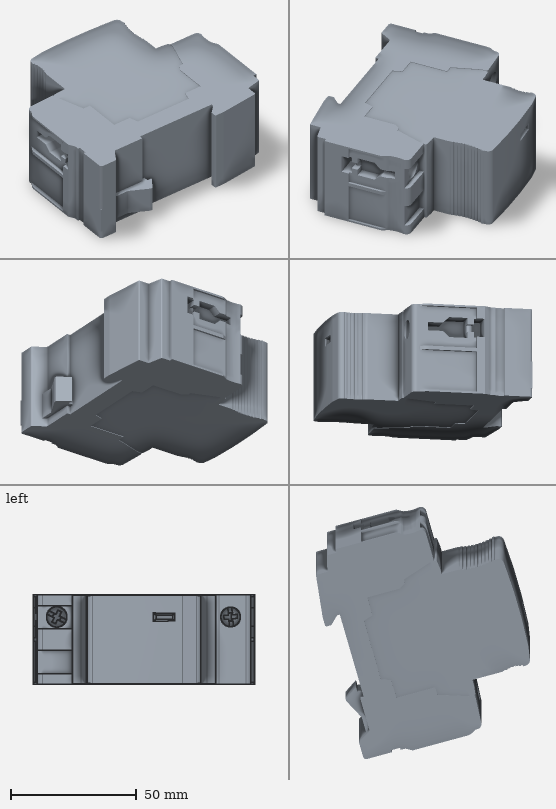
import cadquery as cq
import math

LENGTH = 88.0
BODY_WIDTH = 35.6
COVER_STEP = 0.3
COVER_WIDTH = BODY_WIDTH - 2 * COVER_STEP

FLANGE_FRONT = 25.8
FLANGE_TOP = 72.6
FLANGE_BOTTOM = 15.4
FLANGE_STRAIGHT = 2.5
FLANGE_LEAN = 0.4
FLANGE_CORNER_RADIUS = 0.5
COVER_TOP = 66.6
COVER_BOTTOM = 21.5
NOSE_CORNER_RADIUS = 2.2

GRIP_DIP = 1.1
RIDGE_PITCH = 1.5
RIDGE_WIDTH = 1.0
RIDGE_HEIGHT = 0.3
TOP_GRIP = (4.4, 19.3)
TOP_FIRST_RIDGE = 4.4
TOP_RIDGES = 10
BOTTOM_GRIP = (4.0, 13.3)
BOTTOM_FIRST_RIDGE = 4.3
BOTTOM_RIDGES = 6

BODY_FRONT = 27.3
BODY_CORNER_RADIUS = 2.1
RAIL_SEAT = 69.3
BODY_BACK = 76.1
SHOULDER = 1.5
GROOVE_DEPTH = 0.9
HOOK_TOP = 79.9
HOOK_TIP = 58.3

WINDOW_DEPTH = 1.8
WINDOW_CENTER = (35.9, 8.9)
WINDOW_MOUTH = (9.1, 3.5)
WINDOW_FLOOR = (6.5, 1.5)

TERMINAL_Z = 9.0
SCREW_TURN_LOW = -5.0
SCREW_TURN_HIGH = -63.0
SCREW_LOW_Y = 9.6
SCREW_LOW_RADIUS = 3.9
SCREW_HIGH_Y = 78.7
SCREW_HIGH_RADIUS = 4.05
SCREW_FACE_LOW = 32.65
SCREW_FACE_HIGH = 35.4
CROSS_LENGTH = 5.3
CROSS_HEIGHT = 3.2
SLOT_WIDTH = 1.6
SLOT_DEPTH = 0.3
CROSS_DEPTH = 0.5

PANEL_START = 30.2
PANEL_END = 53.15
PANEL_HEIGHT = 16.3
PANEL_RIB = 1.5
PANEL_DEPTH_LOW = SHOULDER
PANEL_DEPTH_HIGH = 1.0
ENTRY_NARROW = 3.3
ENTRY_WIDE = 8.1
ENTRY_DEPTH_LOW = 7.9
ENTRY_DEPTH_HIGH = 3.5
CAGE_START = 52.2
CAGE_END = 56.1
CAGE_WIDTH = 7.4
CAGE_DEPTH = 7.0
NECK_START = 49.6
NECK_WIDTH = 3.0
NECK_DEPTH = 3.5
POST_SIDES = 8

RECESS_DEPTH = 1.9
RECESS_WIDTH = 9.2
RECESS_Z = 8.9

FOOT_RADIUS = 1.1

CLIP_Z = -8.9
CLIP_WIDTH = 10.9


def prism(sketch, width, z_middle=0.0):
    """Extrude a closed XY outline symmetrically about z_middle."""
    return sketch.close().extrude(width / 2, both=True).translate((0, 0, z_middle))


def block(x_range, y_range, z_middle, width):
    """Box given by its X and Y limits and its Z middle and width."""
    x_size = x_range[1] - x_range[0]
    y_size = y_range[1] - y_range[0]
    return cq.Workplane("XY").box(x_size, y_size, width).translate(
        (x_range[0] + x_size / 2, y_range[0] + y_size / 2, z_middle)
    )


def round_corners(solid, corners):
    """Round the edges along Z that pass through the listed (x, y, radius) corners."""
    reach = 0.04
    for x, y, radius in corners:
        near = cq.selectors.BoxSelector(
            (x - reach, y - reach, -LENGTH), (x + reach, y + reach, LENGTH)
        )
        solid = solid.edges("|Z").edges(near).fillet(radius)
    return solid


def grip_ridges(start, end, edge, inward, first, count):
    """Raised ridges along a grip arc; inward is the Y sign pointing into the cover."""
    half_span = (end - start) / 2
    middle = start + half_span
    arc_radius = (half_span**2 + GRIP_DIP**2) / (2 * GRIP_DIP)
    ridges = cq.Workplane("XY")
    for index in range(count):
        x = first + index * RIDGE_PITCH
        drop = arc_radius - math.sqrt(arc_radius**2 - (x - middle) ** 2)
        tip = edge + inward * (GRIP_DIP - drop - RIDGE_HEIGHT)
        root = tip + inward * 3 * RIDGE_HEIGHT
        ridges = ridges.union(
            block((x - RIDGE_WIDTH / 2, x + RIDGE_WIDTH / 2), sorted((tip, root)), 0, COVER_WIDTH)
        )
    return ridges


PARTING = [
    (28.9, FLANGE_BOTTOM),
    (40.8, 19.4),
    (40.8, 22.5),
    (56.85, 22.5),
    (56.85, 30.2),
    (60.7, 31.4),
    (60.7, 56.6),
    (56.85, 57.8),
    (56.85, 65.5),
    (43.4, 65.5),
    (40.8, 67.1),
    (40.8, 68.6),
    (29.0, FLANGE_TOP),
]


def make_cover():
    """Front cover with its curved nose, finger grips and the flange over the body."""
    nose_top = (0.9, COVER_TOP)
    nose_bottom = (1.85, COVER_BOTTOM)
    flange_corner_x = FLANGE_FRONT + FLANGE_LEAN
    outline = (
        cq.Workplane("XY")
        .moveTo(*nose_top)
        .threePointArc((0, 45.1), (0.6, 28.9))
        .lineTo(*nose_bottom)
        .lineTo(BOTTOM_GRIP[0], COVER_BOTTOM)
        .threePointArc((sum(BOTTOM_GRIP) / 2, COVER_BOTTOM + GRIP_DIP), (BOTTOM_GRIP[1], COVER_BOTTOM))
        .lineTo(FLANGE_FRONT, COVER_BOTTOM)
        .lineTo(FLANGE_FRONT, COVER_BOTTOM - FLANGE_STRAIGHT)
        .lineTo(flange_corner_x, FLANGE_BOTTOM)
    )
    for point in PARTING:
        outline = outline.lineTo(*point)
    outline = (
        outline.lineTo(flange_corner_x, FLANGE_TOP)
        .lineTo(FLANGE_FRONT, COVER_TOP + FLANGE_STRAIGHT)
        .lineTo(FLANGE_FRONT, COVER_TOP)
        .lineTo(TOP_GRIP[1], COVER_TOP)
        .threePointArc((sum(TOP_GRIP) / 2, COVER_TOP - GRIP_DIP), (TOP_GRIP[0], COVER_TOP))
    )
    cover = round_corners(
        prism(outline, COVER_WIDTH),
        [
            (*nose_top, NOSE_CORNER_RADIUS),
            (*nose_bottom, NOSE_CORNER_RADIUS),
            (flange_corner_x, FLANGE_TOP, FLANGE_CORNER_RADIUS),
            (flange_corner_x, FLANGE_BOTTOM, FLANGE_CORNER_RADIUS),
        ],
    )
    cover = cover.union(grip_ridges(*TOP_GRIP, COVER_TOP, -1, TOP_FIRST_RIDGE, TOP_RIDGES))
    return cover.union(grip_ridges(*BOTTOM_GRIP, COVER_BOTTOM, 1, BOTTOM_FIRST_RIDGE, BOTTOM_RIDGES))


def make_body():
    """Body around the cover, with the rail hook, rail seat and foot."""
    high_shoulder = LENGTH - SHOULDER
    outline = cq.Workplane("XY").moveTo(26.4, FLANGE_BOTTOM)
    for point in PARTING:
        outline = outline.lineTo(*point)
    outline = (
        outline.lineTo(BODY_FRONT, FLANGE_TOP)
        .lineTo(BODY_FRONT, high_shoulder)
        .lineTo(29.5, high_shoulder)
        .threePointArc((32.6, high_shoulder - 0.35), (36.0, high_shoulder))
        .lineTo(38.6, LENGTH)
        .lineTo(63.7, LENGTH)
        .lineTo(63.7, high_shoulder)
        .lineTo(67.7, high_shoulder)
        .lineTo(RAIL_SEAT, HOOK_TOP)
        .lineTo(74.0, HOOK_TOP)
        .lineTo(BODY_BACK, 62.5)
        .lineTo(BODY_BACK, HOOK_TIP)
        .lineTo(73.7, HOOK_TIP)
        .lineTo(70.4, 61.6)
        .lineTo(RAIL_SEAT, 61.6)
        .lineTo(RAIL_SEAT, 26.05)
        .lineTo(70.75, 26.05)
        .lineTo(70.75, 12.3)
        .lineTo(BODY_BACK, 9.1)
        .lineTo(BODY_BACK, SHOULDER)
        .lineTo(64.6, SHOULDER)
        .lineTo(64.6, SHOULDER + GROOVE_DEPTH)
        .lineTo(61.0, SHOULDER + GROOVE_DEPTH)
        .lineTo(61.0, SHOULDER)
        .lineTo(59.05, SHOULDER)
        .lineTo(56.5, 0)
        .lineTo(32.6, 0)
        .lineTo(PANEL_START, SHOULDER)
        .lineTo(BODY_FRONT, SHOULDER)
    )
    return round_corners(
        prism(outline, BODY_WIDTH),
        [
            (BODY_FRONT, high_shoulder, BODY_CORNER_RADIUS),
            (38.6, LENGTH, 1.3),
            (67.7, high_shoulder, 0.5),
            (74.0, HOOK_TOP, 0.5),
            (BODY_BACK, HOOK_TIP, 0.6),
            (70.75, 12.3, 1.3),
            (BODY_BACK, 9.1, 0.9),
            (32.6, 0, 4.4),
            (BODY_FRONT, SHOULDER, BODY_CORNER_RADIUS),
            (26.4, FLANGE_BOTTOM, 1.0),
        ],
    )


def make_clip():
    """Rail clip, rooted inside the body behind the rail seat."""
    outline = cq.Workplane("XY").polyline(
        [
            (RAIL_SEAT - 0.9, 28.2),
            (71.4, 28.2),
            (71.4, 30.3),
            (76.65, 26.75),
            (76.65, 25.8),
            (72.5, 17.6),
            (72.5, 10.6),
            (RAIL_SEAT - 0.9, 10.6),
        ]
    )
    return prism(outline, CLIP_WIDTH, CLIP_Z)


def window_cutter():
    """Rectangular window with sloping sides, narrowing into the nose."""
    clearance = 0.1
    return (
        cq.Workplane("YZ", origin=(-clearance, *WINDOW_CENTER))
        .rect(*WINDOW_MOUTH)
        .workplane(offset=WINDOW_DEPTH)
        .rect(*WINDOW_FLOOR)
        .loft()
    )


def screw_cutter(y, radius, face, turn):
    """Screw well whose floor is a screw head with a long slot and a deeper cross."""
    well = cq.Workplane("YZ").circle(radius).extrude(face)
    head = cq.Workplane("YZ", origin=(face, 0, 0))
    slot = head.rect(SLOT_WIDTH, 2 * radius).extrude(SLOT_DEPTH)
    slot = slot.intersect(head.circle(radius).extrude(SLOT_DEPTH))
    cross = head.rect(CROSS_LENGTH, SLOT_WIDTH).extrude(CROSS_DEPTH)
    cross = cross.union(head.rect(SLOT_WIDTH, CROSS_HEIGHT).extrude(CROSS_DEPTH))
    cutter = well.union(slot).union(cross)
    return cutter.rotate((0, 0, 0), (1, 0, 0), turn).translate((0, y, TERMINAL_Z))


def end_panel_cutter(panel_depth, entry_depth):
    """Panels, wire entry and terminal cage opening of an end face lying at Y = 0."""
    cutter = cq.Workplane("XY")
    for side in (1, -1):
        panel_z = side * (PANEL_RIB + PANEL_HEIGHT) / 2
        cutter = cutter.union(block((PANEL_START, PANEL_END), (0, panel_depth), panel_z, PANEL_HEIGHT))
    half_narrow = ENTRY_NARROW / 2
    half_wide = ENTRY_WIDE / 2
    upper_edge = [(33.5, half_narrow), (39.6, half_narrow), (42.15, half_wide), (NECK_START, half_wide)]
    lower_edge = [(x, -z) for x, z in reversed(upper_edge)]
    entry = (
        cq.Workplane("XZ", origin=(0, 0, TERMINAL_Z))
        .polyline(upper_edge + lower_edge)
        .close()
        .extrude(-(SHOULDER + entry_depth))
    )
    neck = block((NECK_START, CAGE_START), (0, SHOULDER + NECK_DEPTH), TERMINAL_Z, NECK_WIDTH)
    post_middle = ((NECK_START + CAGE_START) / 2, SHOULDER + NECK_DEPTH)
    post = cq.Workplane("XY").polygon(POST_SIDES, CAGE_START - NECK_START, circumscribed=True)
    post = post.extrude(BODY_WIDTH / 2)
    post = post.rotate((0, 0, 0), (0, 0, 1), 180 / POST_SIDES).translate((*post_middle, 0))
    cage = block((CAGE_START, CAGE_END), (0, SHOULDER + CAGE_DEPTH), TERMINAL_Z, CAGE_WIDTH)
    return cutter.union(entry).union(neck.cut(post)).union(cage)


def shoulder_recess_cutter():
    """Two recesses across the front face of the upper shoulder."""
    cutter = cq.Workplane("XY")
    for side in (1, -1):
        recess = block(
            (BODY_FRONT, BODY_FRONT + RECESS_DEPTH), (FLANGE_TOP, LENGTH), side * RECESS_Z, RECESS_WIDTH
        )
        cutter = cutter.union(recess)
    return cutter


def foot_rounding_cutter():
    """Rounding of the rear corner of the foot, interrupted behind the rail clip."""
    corner = block(
        (BODY_BACK - FOOT_RADIUS, BODY_BACK), (SHOULDER, SHOULDER + FOOT_RADIUS), 0, BODY_WIDTH
    )
    rounding_center = (BODY_BACK - FOOT_RADIUS, SHOULDER + FOOT_RADIUS)
    rounding = cq.Workplane("XY").center(*rounding_center).circle(FOOT_RADIUS)
    rounding = rounding.extrude(BODY_WIDTH / 2, both=True)
    kept = block((RAIL_SEAT, LENGTH), (0, LENGTH), CLIP_Z, CLIP_WIDTH)
    return corner.cut(rounding).cut(kept)


body = make_body().cut(shoulder_recess_cutter())
body = body.cut(screw_cutter(SCREW_LOW_Y, SCREW_LOW_RADIUS, SCREW_FACE_LOW, SCREW_TURN_LOW))
body = body.cut(screw_cutter(SCREW_HIGH_Y, SCREW_HIGH_RADIUS, SCREW_FACE_HIGH, SCREW_TURN_HIGH))
body = body.cut(end_panel_cutter(PANEL_DEPTH_LOW, ENTRY_DEPTH_LOW))
upper_panel = end_panel_cutter(PANEL_DEPTH_HIGH, ENTRY_DEPTH_HIGH).mirror("XZ").translate((0, LENGTH, 0))
body = body.cut(upper_panel)
body = body.cut(foot_rounding_cutter())
cover = make_cover().cut(window_cutter())
result = cover.union(body).union(make_clip())